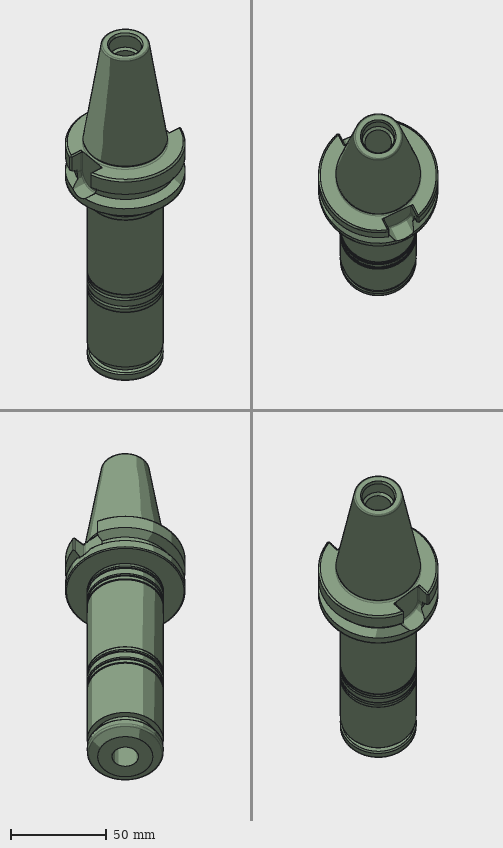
import cadquery as cq
import math


taper_length = 65.4
gauge_radius = 44.45 / 2
taper_ratio = 7 / 24
taper_end_radius = gauge_radius - taper_length * taper_ratio / 2
taper_end_fillet = 0.8

neck_radius = 21.6
neck_cone_height = 1.0
neck_fillet = 0.9

flange_radius = 63 / 2
flange_top = -2.0
flange_bottom = -27.0
flange_top_chamfer = 1.0
flange_bottom_chamfer = 0.6
groove_radius = 54 / 2
groove_wall_angle = 30
groove_centre = -16.6
groove_mouth_width = 10.0

slot_width = 16.4
slot_floor_distance = 22.6
slot_end = -23.4
slot_chamfer = 0.8
slot_floor_fillet = 0.6

shank_radius = 40 / 2
band_radius = 40.5 / 2
notch_radius = 19.7
notch_width = 1.9
notch_upper_height = 0.5
band_lengths = (2.1, 4.0, 2.1)
upper_bands_top = flange_bottom
lower_bands_top = -91.0
upper_band_cone_height = 1.0
lower_band_cone_height = 0.1
band_end_cone_height = 0.5

shank_bottom = -141.3
collar_neck_radius = 34 / 2
collar_top = -145.9
collar_top_chamfer = 0.8
collar_corner_fillet = 1.5
collar_cone_angle = 30
end_face_radius = 14.5
overall_length = 219.4
part_bottom = taper_length - overall_length

bore_radius = 13.84 / 2
counterbore_radius = 17 / 2
counterbore_depth = 9.3
counterbore_floor_cone = 1.0
mouth_chamfer_width = 0.8
mouth_chamfer_height = 1.4


def revolve(profile):
    """Turn a closed (radius, height) outline about the Z axis."""
    return cq.Workplane("XZ").polyline(profile).close().revolve(360, (0, 0), (0, 1))


def make_taper():
    """Taper with a rounded small end, and the neck that joins it to the flange."""
    taper = revolve([
        (0, taper_length),
        (taper_end_radius, taper_length),
        (gauge_radius, 0),
        (neck_radius, -neck_cone_height),
        (neck_radius, flange_top),
        (0, flange_top),
    ])
    return taper.faces(">Z").edges().fillet(taper_end_fillet)


def make_neck_fillet():
    """Ring with a concave quarter-round between the neck and the top face of the flange."""
    fillet_centre = (neck_radius + neck_fillet, flange_top + neck_fillet)
    arc_offset = neck_fillet * math.sqrt(0.5)
    return (
        cq.Workplane("XZ")
        .moveTo(neck_radius, flange_top)
        .lineTo(neck_radius, fillet_centre[1])
        .threePointArc(
            (fillet_centre[0] - arc_offset, fillet_centre[1] - arc_offset),
            (fillet_centre[0], flange_top),
        )
        .close()
        .revolve(360, (0, 0), (0, 1))
    )


def make_flange():
    half_mouth = groove_mouth_width / 2
    wall_height = (flange_radius - groove_radius) * math.tan(math.radians(groove_wall_angle))
    half_floor = half_mouth - wall_height
    return revolve([
        (0, flange_top),
        (flange_radius - flange_top_chamfer, flange_top),
        (flange_radius, flange_top - flange_top_chamfer),
        (flange_radius, groove_centre + half_mouth),
        (groove_radius, groove_centre + half_floor),
        (groove_radius, groove_centre - half_floor),
        (flange_radius, groove_centre - half_mouth),
        (flange_radius, flange_bottom + flange_bottom_chamfer),
        (flange_radius - flange_bottom_chamfer, flange_bottom),
        (0, flange_bottom),
    ])


def make_drive_slot():
    """Round-ended slot cutter for the -Y side, with chamfers along its top and outer edges."""
    slot_radius = slot_width / 2
    arc_centre = slot_end + slot_radius
    rim_radius = slot_radius + slot_chamfer
    rim_distance = math.sqrt(flange_radius**2 - rim_radius**2)
    slot = (
        cq.Workplane("XZ", origin=(0, -slot_floor_distance, 0))
        .moveTo(-slot_radius, flange_top)
        .lineTo(-slot_radius, arc_centre)
        .threePointArc((0, slot_end), (slot_radius, arc_centre))
        .lineTo(slot_radius, flange_top)
        .close()
        .extrude(flange_radius)
        .faces(">Y")
        .edges("not >Z")
        .fillet(slot_floor_fillet)
    )
    top_chamfer = (
        cq.Workplane("XZ", origin=(0, -slot_floor_distance, 0))
        .polyline([
            (-rim_radius, flange_top),
            (rim_radius, flange_top),
            (slot_radius, flange_top - slot_chamfer),
            (-slot_radius, flange_top - slot_chamfer),
        ])
        .close()
        .extrude(flange_radius)
    )
    outer_chamfer = (
        cq.Workplane("XY", origin=(0, 0, flange_top))
        .polyline([
            (-slot_radius, slot_chamfer - rim_distance),
            (slot_radius, slot_chamfer - rim_distance),
            (rim_radius, -rim_distance),
            (rim_radius, -flange_radius),
            (-rim_radius, -flange_radius),
            (-rim_radius, -rim_distance),
        ])
        .close()
        .extrude(groove_centre - flange_top)
    )
    return slot.union(top_chamfer).union(outer_chamfer)


def band_outline(top, start_cone_height):
    """Outer (radius, height) points of one set of bands, going down from the given height."""
    points = [(shank_radius, top), (band_radius, top - start_cone_height)]
    band_top = top
    for length in band_lengths[:-1]:
        band_bottom = band_top - length
        points.append((band_radius, band_bottom))
        points.append((notch_radius, band_bottom - notch_upper_height))
        band_top = band_bottom - notch_width
        points.append((band_radius, band_top))
    last_band_bottom = band_top - band_lengths[-1]
    points.append((band_radius, last_band_bottom))
    points.append((shank_radius, last_band_bottom - band_end_cone_height))
    return points


def make_shank():
    return revolve(
        [(0, upper_bands_top)]
        + band_outline(upper_bands_top, upper_band_cone_height)
        + band_outline(lower_bands_top, lower_band_cone_height)
        + [(shank_radius, shank_bottom), (0, shank_bottom)]
    )


def make_collar():
    """Narrow neck and the coned collar that closes the lower end."""
    cone_height = (shank_radius - end_face_radius) * math.tan(math.radians(collar_cone_angle))
    cone_top = part_bottom + cone_height
    collar = revolve([
        (0, shank_bottom),
        (collar_neck_radius, shank_bottom),
        (collar_neck_radius, collar_top),
        (shank_radius - collar_top_chamfer, collar_top),
        (shank_radius, collar_top - collar_top_chamfer),
        (shank_radius, cone_top),
        (end_face_radius, part_bottom),
        (0, part_bottom),
    ])
    corner = cq.selectors.NearestToPointSelector((0, 0, cone_top))
    return collar.edges("%CIRCLE").edges(corner).fillet(collar_corner_fillet)


def make_bore():
    """Pull-stud counterbore with a coned floor, and the bore through the whole part."""
    counterbore_floor = taper_length - counterbore_depth
    return revolve([
        (0, taper_length),
        (counterbore_radius + mouth_chamfer_width, taper_length),
        (counterbore_radius, taper_length - mouth_chamfer_height),
        (counterbore_radius, counterbore_floor),
        (bore_radius, counterbore_floor - counterbore_floor_cone),
        (bore_radius, part_bottom),
        (0, part_bottom),
    ])


front_slot = make_drive_slot()
back_slot = front_slot.mirror("XZ")
flange = make_flange().cut(front_slot).cut(back_slot)

body = make_taper().union(make_neck_fillet()).union(flange).union(make_shank()).union(make_collar())
result = body.cut(make_bore())